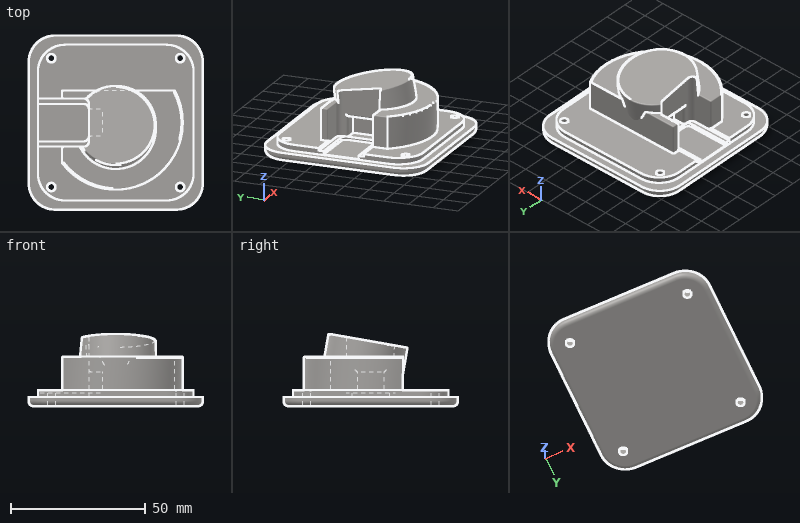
import cadquery as cq
import math

flange_width = 65.0
flange_top = 3.5
flange_bottom_round = 2.0
plate_width = 58.0
plate_top = 6.0
plate_corner_radius = 10.0

hole_diameter = 3.0
hole_spacing = 48.0

housing_radius = 25.0
housing_top = 18.5
housing_left_x = -20.0
housing_rear_y = 12.0
edge_round = 0.5

knob_radius = 15.0
knob_tilt = 10.0
knob_top_center_y = -1.0
knob_top_center_z = 24.495
knob_length = 20.0

channel_end_x = -10.0
channel_width = 18.0
channel_floor = 5.0
groove_width = 14.0
groove_floor = 3.75
channel_corner_radius = 2.0

door_width = 10.0
door_top = 12.8
door_depth = 5.0
door_round = 1.0

tolerance = 0.01


def rounded_square(width, bottom, top):
    layer = cq.Workplane("XY").workplane(offset=bottom).rect(width, width).extrude(top - bottom)
    return layer.edges("|Z").fillet(plate_corner_radius)


def make_base():
    flange = rounded_square(flange_width, 0, flange_top).faces("<Z").edges().fillet(flange_bottom_round)
    plate = rounded_square(plate_width, flange_top, plate_top)
    return flange.union(plate)


def make_housing():
    rear_right_x = math.sqrt(housing_radius**2 - housing_rear_y**2)
    front_left_y = -math.sqrt(housing_radius**2 - housing_left_x**2)
    arc_middle = (housing_radius * math.sqrt(0.5), -housing_radius * math.sqrt(0.5))
    return (
        cq.Workplane("XY")
        .workplane(offset=plate_top)
        .moveTo(housing_left_x, housing_rear_y)
        .lineTo(rear_right_x, housing_rear_y)
        .threePointArc(arc_middle, (housing_left_x, front_left_y))
        .close()
        .extrude(housing_top - plate_top)
    )


def make_knob():
    top_plane = cq.Plane(
        origin=(0, knob_top_center_y, knob_top_center_z),
        xDir=(1, 0, 0),
        normal=(0, math.sin(math.radians(knob_tilt)), math.cos(math.radians(knob_tilt))),
    )
    return cq.Workplane(top_plane).circle(knob_radius).extrude(-knob_length).faces(">Z").fillet(edge_round)


def channel_cutter(width, floor):
    start_x = -flange_width / 2
    cutter = (
        cq.Workplane("XY")
        .workplane(offset=floor)
        .center((start_x + channel_end_x) / 2, 0)
        .rect(channel_end_x - start_x, width)
        .extrude(flange_width)
    )
    return cutter.edges("|Z and >X").fillet(channel_corner_radius)


def door_cutter():
    height = door_top - channel_floor
    door = cq.Workplane("XY").box(door_depth, door_width, height, centered=(False, True, False))
    return door.translate((channel_end_x, 0, channel_floor))


def is_rear_edge(edge):
    return abs(edge.Center().y - housing_rear_y) < tolerance


def is_channel_end_edge(edge):
    center = edge.Center()
    past_corners = center.x > channel_end_x - channel_corner_radius
    return past_corners and abs(center.y) < channel_width / 2 - tolerance


def is_rounded_upright(edge):
    """Uprights at the left end are rounded, except the one where the arc begins."""
    center = edge.Center()
    return abs(center.x - housing_left_x) < tolerance and center.y > -channel_width / 2 - tolerance


def round_housing(housing):
    """Round the top rim and left uprights; the rear edge stays sharp right of the knob."""
    top_edges = housing.faces(">Z").edges().vals()
    rim = [edge for edge in top_edges if not is_channel_end_edge(edge)]
    rim_without_rear = [edge for edge in rim if not is_rear_edge(edge)]
    uprights = [edge for edge in housing.edges("|Z").vals() if is_rounded_upright(edge)]
    all_round = housing.newObject(rim + uprights).fillet(edge_round)
    rear_sharp = housing.newObject(rim_without_rear + uprights).fillet(edge_round)
    right_half = cq.Workplane("XY").box(
        flange_width, flange_width, flange_width, centered=(False, True, False)
    )
    return all_round.union(rear_sharp.intersect(right_half))


def round_door_rim(body):
    rim_box = cq.selectors.BoxSelector(
        (channel_end_x - tolerance, -door_width / 2 - tolerance, channel_floor + tolerance),
        (channel_end_x + tolerance, door_width / 2 + tolerance, door_top + tolerance),
    )
    return body.edges(rim_box).fillet(door_round)


def make_holes():
    return (
        cq.Workplane("XY")
        .rect(hole_spacing, hole_spacing, forConstruction=True)
        .vertices()
        .circle(hole_diameter / 2)
        .extrude(plate_top)
    )


channel = channel_cutter(channel_width, channel_floor)
groove = channel_cutter(groove_width, groove_floor)

housing = round_housing(make_housing().cut(channel))
knob = make_knob().cut(channel)
base = make_base().cut(channel)

body = base.union(housing).union(knob).cut(groove)
body = round_door_rim(body.cut(door_cutter()))
result = body.cut(make_holes())